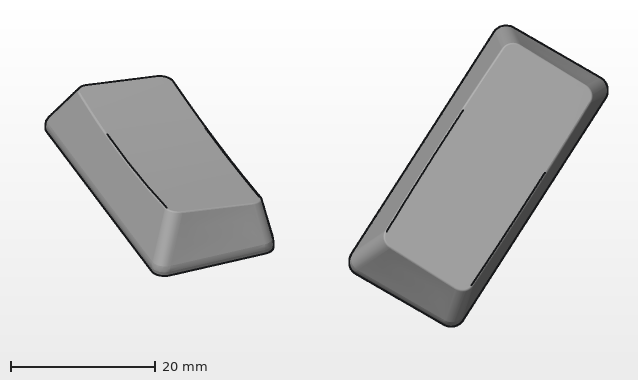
import cadquery as cq
import math

length = 41.95
width = 18.17
base_corner_radius = 1.95
upper_corner_radius = 1.85

skirt_height = 0.65
shoulder_top = 1.43
shoulder_steps = 4
front_lean = 28.0
back_lean = 4.8
end_lean = 31.5
upper_front_height = 7.97
upper_back_height = 6.3
upper_end_inset = 3.78

dish_radius = 214.05
dish_depth = 0.95
dish_length = 3 * width
rim_radius = 0.3


def wall_inset(lean, height):
    """Inward shift of a wall that curves over the shoulder, then leans straight."""
    full_lean = math.radians(lean)
    arc_radius = (shoulder_top - skirt_height) / math.sin(full_lean)
    arc_height = min(height, shoulder_top) - skirt_height
    turned = math.asin(arc_height / arc_radius)
    straight_height = max(height - shoulder_top, 0)
    return arc_radius * (1 - math.cos(turned)) + straight_height * math.tan(full_lean)


upper_front = -width / 2 + wall_inset(front_lean, upper_front_height)
upper_back = width / 2 - wall_inset(back_lean, upper_back_height)
slope = math.atan2(upper_front_height - upper_back_height, upper_back - upper_front)
upper_plane = cq.Plane(
    origin=(0, (upper_front + upper_back) / 2, (upper_front_height + upper_back_height) / 2),
    xDir=(1, 0, 0),
    normal=(0, math.sin(slope), math.cos(slope)),
)


def rounded_rectangle(x_size, y_size, radius):
    return cq.Sketch().rect(x_size, y_size).vertices().fillet(radius)


def shoulder_outline(height):
    """Level outline of the four walls at a height within the shoulder."""
    end_inset = wall_inset(end_lean, height)
    front_inset = wall_inset(front_lean, height)
    back_inset = wall_inset(back_lean, height)
    outline = rounded_rectangle(
        length - 2 * end_inset,
        width - front_inset - back_inset,
        base_corner_radius,
    )
    return outline.moved(cq.Location(cq.Vector(0, (front_inset - back_inset) / 2, height)))


def make_body():
    """Skirt, shoulder and leaning walls stacked on one another."""
    shoulder_rise = (shoulder_top - skirt_height) / shoulder_steps
    shoulder_outlines = [
        shoulder_outline(skirt_height + step * shoulder_rise)
        for step in range(shoulder_steps + 1)
    ]
    upper_outline = rounded_rectangle(
        length - 2 * upper_end_inset,
        (upper_back - upper_front) / math.cos(slope),
        upper_corner_radius,
    ).moved(cq.Location(upper_plane))

    skirt_outline = rounded_rectangle(length, width, base_corner_radius)
    skirt = cq.Workplane().placeSketch(skirt_outline).extrude(skirt_height)
    shoulder = cq.Workplane().placeSketch(*shoulder_outlines).loft()
    walls = cq.Workplane().placeSketch(shoulder_outlines[-1], upper_outline).loft(ruled=True)
    return skirt.union(shoulder).union(walls)


def make_dish():
    """Cylinder lying above the key along the slope of the upper outline."""
    start = upper_plane.toWorldCoords((0, -dish_length / 2, dish_radius - dish_depth))
    return cq.Solid.makeCylinder(dish_radius, dish_length, start, upper_plane.yDir)


dished_body = make_body().cut(cq.Workplane(make_dish()))
result = dished_body.faces(">Z").edges().fillet(rim_radius)